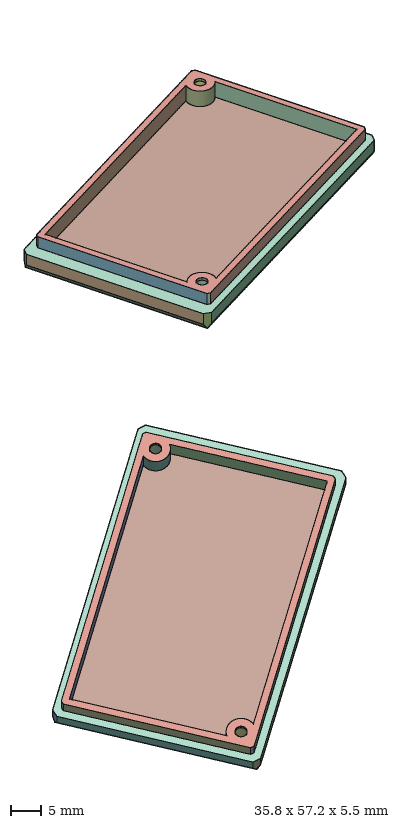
import cadquery as cq

width = 35.8
length = 57.2
height = 5.5
plate_height = 3.2
corner_chamfer = 1.05
bevel_inset = 0.5
bevel_height = 1.0

lip_inset = 1.3
lip_front_inset = 2.5
lip_wall = 1.2
lip_corner_chamfer = 0.45
pocket_depth = 3.2

boss_diameter = 5.0
hole_diameter = 2.0
counterbore_diameter = 3.7
counterbore_roof = 0.5
hole_from_lip_side = 2.8
hole_from_lip_end = 2.6

lip_width = width - 2 * lip_inset
lip_length = length - lip_inset - lip_front_inset
lip_center_y = (lip_front_inset - lip_inset) / 2
floor_z = height - pocket_depth
hole_x = lip_width / 2 - hole_from_lip_side
hole_y = lip_length / 2 - hole_from_lip_end
hole_centers = [
    (-hole_x, lip_center_y + hole_y),
    (hole_x, lip_center_y - hole_y),
]

corner_fill_x = hole_x + hole_from_lip_side / 2
corner_fill_y = hole_y + hole_from_lip_end / 2
corner_fill_centers = [
    (-corner_fill_x, lip_center_y + corner_fill_y),
    (corner_fill_x, lip_center_y - corner_fill_y),
]


def make_plate():
    """Plate with a bevelled bottom rim and vertical cuts across its corners."""
    bevelled_block = (
        cq.Workplane("XY")
        .box(width, length, plate_height, centered=(True, True, False))
        .faces("<Z")
        .chamfer(bevel_height, bevel_inset)
    )
    corner_cut_prism = (
        cq.Workplane("XY")
        .box(width, length, plate_height, centered=(True, True, False))
        .edges("|Z")
        .chamfer(corner_chamfer)
    )
    return bevelled_block.intersect(corner_cut_prism)


def make_lip_block():
    """Solid block of the lip outline, reaching from the pocket floor to the top."""
    return (
        cq.Workplane("XY", origin=(0, lip_center_y, floor_z))
        .box(lip_width, lip_length, pocket_depth, centered=(True, True, False))
        .edges("|Z")
        .chamfer(lip_corner_chamfer)
    )


def make_pocket():
    """Space inside the lip, leaving the round corner bosses standing."""
    cavity = cq.Workplane("XY", origin=(0, lip_center_y, floor_z)).box(
        lip_width - 2 * lip_wall,
        lip_length - 2 * lip_wall,
        pocket_depth,
        centered=(True, True, False),
    )
    bosses = (
        cq.Workplane("XY", origin=(0, 0, floor_z))
        .pushPoints(hole_centers)
        .circle(boss_diameter / 2)
        .extrude(pocket_depth)
    )
    corner_fills = (
        cq.Workplane("XY", origin=(0, 0, floor_z))
        .pushPoints(corner_fill_centers)
        .rect(hole_from_lip_side, hole_from_lip_end)
        .extrude(pocket_depth)
    )
    return cavity.cut(bosses).cut(corner_fills)


def make_screw_holes():
    """Through holes on the boss axes, counterbored from the underside."""
    holes = (
        cq.Workplane("XY")
        .pushPoints(hole_centers)
        .circle(hole_diameter / 2)
        .extrude(height)
    )
    counterbores = (
        cq.Workplane("XY")
        .pushPoints(hole_centers)
        .circle(counterbore_diameter / 2)
        .extrude(height - counterbore_roof)
    )
    return holes.union(counterbores)


result = make_plate().union(make_lip_block()).cut(make_pocket()).cut(make_screw_holes())